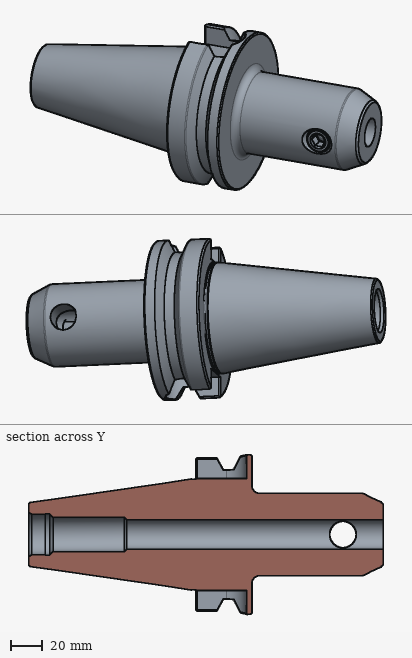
import cadquery as cq
import math

TOTAL_LENGTH = 221.8
GAP = 0.2

TAPER_LENGTH = 101.8
TAPER_DIA = 69.9
TAPER_RATIO = 7 / 24
TAPER_END_CHAMFER = 0.9
TAPER_END_DIA = TAPER_DIA - TAPER_LENGTH * TAPER_RATIO

RELIEF_DIA = 69.2
RELIEF_RAMP = 0.7
RELIEF_FILLET = 0.7

FLANGE_DIA = 100.0
FLANGE_START = 104.5
FLANGE_END = 139.7
FLANGE_FRONT_CHAMFER = 1.0
FLANGE_BACK_CHAMFER = 0.9
GROOVE_FLOOR_DIA = 84.7
GROOVE_FLOOR_START = 121.8
GROOVE_FLOOR_END = 128.2
GROOVE_SIDE_ANGLE = 30.0
GROOVE_EDGE_FILLET = 0.9
GROOVE_SIDE_LENGTH = (FLANGE_DIA - GROOVE_FLOOR_DIA) / 2 * math.tan(math.radians(GROOVE_SIDE_ANGLE))
GROOVE_START = GROOVE_FLOOR_START - GROOVE_SIDE_LENGTH
GROOVE_END = GROOVE_FLOOR_END + GROOVE_SIDE_LENGTH

SLOT_WIDTH = 25.5
SLOT_FLOOR_HEIGHT = 35.0
SLOT_END = 136.2
SLOT_MOUTH_CHAMFER = 1.0
SLOT_END_CHAMFER = 0.7

NOSE_DIA = 52.0
NOSE_FILLET = 4.7
TIP_CONE_START = 209.0
TIP_CONE_END_DIA = 40.8
TIP_CHAMFER = 1.3
TIP_EDGE_FILLET = 2.0

BORE_MOUTH_DIA = 27.5
BORE_MOUTH_DEPTH = 2.0
COUNTERBORE_DIA = 25.0
COUNTERBORE_DEPTH = 10.5
BORE_RELIEF_DIA = 25.5
BORE_RELIEF_END = 13.0
PULL_STUD_BORE_DIA = 21.0
PULL_STUD_BORE_END = 59.9
THROUGH_BORE_DIA = 18.0

SCREW_X = 196.5
SCREW_DIA = 16.0
SCREW_LENGTH = 16.0
SCREW_FACE_DIA = 14.0
SCREW_FACE_Y = -24.2
COUNTERSINK_DIA = 20.0
OPPOSITE_HOLE_DIA = 16.5

HEX_ACROSS_FLATS = 8.0
HEX_DEPTH = 7.8
HEX_MOUTH_DIA = 10.5
FLOOR_CONE_DIA = 7.0
FLOOR_CONE_ANGLE = 118.0


def revolve_about_axis(points):
    """Revolve (x, radius) points about the holder axis."""
    return cq.Workplane("XY").polyline(points).close().revolve(360, (0, 0, 0), (1, 0, 0))


def revolve_about_screw(points):
    """Revolve (radius, y) points about the screw axis."""
    shifted = [(SCREW_X + radius, y) for radius, y in points]
    return cq.Workplane("XY").polyline(shifted).close().revolve(360, (SCREW_X, 0, 0), (SCREW_X, 1, 0))


def edges_within(body, low, high):
    """Edges that lie wholly inside the box between two corners."""
    return body.edges(cq.selectors.BoxSelector(low, high, boundingbox=True))


def fillet_ring(body, x, diameter, fillet):
    """Fillet the one circular edge of this diameter at this X."""
    reach = diameter / 2 + GAP
    rings = edges_within(body, (x - GAP, -reach, -reach), (x + GAP, reach, reach))
    chosen = [edge for edge in rings.vals() if abs(edge.radius() - diameter / 2) < GAP]
    return body.newObject(chosen).fillet(fillet)




def make_blank():
    """Taper, relief, grooved flange and nose as one turned shape."""
    taper_end_r = TAPER_END_DIA / 2
    relief_r = RELIEF_DIA / 2
    flange_r = FLANGE_DIA / 2
    groove_r = GROOVE_FLOOR_DIA / 2
    nose_r = NOSE_DIA / 2
    tip_r = TIP_CONE_END_DIA / 2
    blank = revolve_about_axis([
        (0, 0),
        (0, taper_end_r - TAPER_END_CHAMFER),
        (TAPER_END_CHAMFER, taper_end_r + TAPER_END_CHAMFER * TAPER_RATIO / 2),
        (TAPER_LENGTH, TAPER_DIA / 2),
        (TAPER_LENGTH + RELIEF_RAMP, relief_r),
        (FLANGE_START, relief_r),
        (FLANGE_START, flange_r - FLANGE_FRONT_CHAMFER),
        (FLANGE_START + FLANGE_FRONT_CHAMFER, flange_r),
        (GROOVE_START, flange_r),
        (GROOVE_FLOOR_START, groove_r),
        (GROOVE_FLOOR_END, groove_r),
        (GROOVE_END, flange_r),
        (FLANGE_END - FLANGE_BACK_CHAMFER, flange_r),
        (FLANGE_END, flange_r - FLANGE_BACK_CHAMFER),
        (FLANGE_END, nose_r),
        (TIP_CONE_START, nose_r),
        (TOTAL_LENGTH - TIP_CHAMFER, tip_r),
        (TOTAL_LENGTH, tip_r - TIP_CHAMFER),
        (TOTAL_LENGTH, 0),
    ])
    blank = fillet_ring(blank, FLANGE_START, RELIEF_DIA, RELIEF_FILLET)
    blank = fillet_ring(blank, GROOVE_START, FLANGE_DIA, GROOVE_EDGE_FILLET)
    blank = fillet_ring(blank, FLANGE_END, NOSE_DIA, NOSE_FILLET)
    return fillet_ring(blank, TIP_CONE_START, NOSE_DIA, TIP_EDGE_FILLET)


def cut_drive_slots(body):
    half = SLOT_WIDTH / 2
    arc_start = SLOT_END - half
    slot = (
        cq.Workplane("XY", origin=(0, 0, SLOT_FLOOR_HEIGHT))
        .moveTo(FLANGE_START - GAP, -half)
        .lineTo(arc_start, -half)
        .threePointArc((SLOT_END, 0), (arc_start, half))
        .lineTo(FLANGE_START - GAP, half)
        .close()
        .extrude(FLANGE_DIA / 2)
    )
    return body.cut(slot).cut(slot.mirror("XY"))


def chamfer_slot_mouths(body):
    """Chamfer the slot walls where they meet the front face and the front rim of the flange."""
    flange_r = FLANGE_DIA / 2
    half = SLOT_WIDTH / 2
    outer = half + SLOT_MOUTH_CHAMFER
    rim_z = math.sqrt(flange_r**2 - outer**2)
    face_wedge = (
        cq.Workplane("XY", origin=(0, 0, SLOT_FLOOR_HEIGHT))
        .polyline([(FLANGE_START, half), (FLANGE_START + SLOT_MOUTH_CHAMFER, half), (FLANGE_START, outer)])
        .close()
        .extrude(flange_r - SLOT_FLOOR_HEIGHT)
    )
    rim_wedge = (
        cq.Workplane("YZ", origin=(FLANGE_START, 0, 0))
        .polyline([(half, rim_z - SLOT_MOUTH_CHAMFER), (outer, rim_z), (half, flange_r)])
        .close()
        .extrude(GROOVE_FLOOR_START - FLANGE_START)
    )
    for wedge in (face_wedge, rim_wedge):
        wedge_pair = wedge.union(wedge.mirror("XY"))
        body = body.cut(wedge_pair).cut(wedge_pair.mirror("XZ"))
    return body


def chamfer_slot_ends(body):
    """Chamfer the rounded end of each slot where it breaks through the back rim of the flange."""
    flange_r = FLANGE_DIA / 2
    half = SLOT_WIDTH / 2
    rim_z = math.sqrt(flange_r**2 - half**2)
    for side in (1, -1):
        low_z, high_z = sorted((side * (rim_z - GAP), side * (flange_r + GAP)))
        low = (GROOVE_END - GAP, -half, low_z)
        high = (SLOT_END + GAP, half, high_z)
        body = edges_within(body, low, high).chamfer(SLOT_END_CHAMFER)
    return body


def cut_bore(body):
    """Mouth chamfer, counterbore, relief, pull-stud bore and through bore."""
    stud_r = PULL_STUD_BORE_DIA / 2
    relief_r = BORE_RELIEF_DIA / 2
    through_r = THROUGH_BORE_DIA / 2
    bore = revolve_about_axis([
        (0, 0),
        (0, BORE_MOUTH_DIA / 2),
        (BORE_MOUTH_DEPTH, COUNTERBORE_DIA / 2),
        (COUNTERBORE_DEPTH, COUNTERBORE_DIA / 2),
        (COUNTERBORE_DEPTH, relief_r),
        (BORE_RELIEF_END, relief_r),
        (BORE_RELIEF_END + relief_r - stud_r, stud_r),
        (PULL_STUD_BORE_END, stud_r),
        (PULL_STUD_BORE_END + stud_r - through_r, through_r),
        (TOTAL_LENGTH, through_r),
        (TOTAL_LENGTH, 0),
    ])
    return body.cut(bore)


def cut_screw_holes(body):
    """Countersunk seat that fits round the screw, and the plain hole on the +Y side."""
    surface_y = -NOSE_DIA / 2
    mouth_r = COUNTERSINK_DIA / 2
    countersink = revolve_about_screw([
        (0, surface_y - GAP),
        (mouth_r + GAP, surface_y - GAP),
        (0, surface_y + mouth_r),
    ])
    opposite_hole = (
        cq.Workplane("XZ", origin=(SCREW_X, 0, 0)).circle(OPPOSITE_HOLE_DIA / 2).extrude(-NOSE_DIA)
    )
    return body.cut(opposite_hole).cut(countersink).cut(make_screw_outside())


def make_holder():
    body = make_blank()
    body = cut_drive_slots(body)
    body = chamfer_slot_mouths(body)
    body = chamfer_slot_ends(body)
    body = cut_bore(body)
    return cut_screw_holes(body)




def make_screw_outside():
    """Plain cylinder with its outer end chamfered."""
    chamfer = (SCREW_DIA - SCREW_FACE_DIA) / 2
    tip_y = SCREW_FACE_Y + SCREW_LENGTH
    return revolve_about_screw([
        (0, SCREW_FACE_Y),
        (SCREW_FACE_DIA / 2, SCREW_FACE_Y),
        (SCREW_DIA / 2, SCREW_FACE_Y + chamfer),
        (SCREW_DIA / 2, tip_y),
        (0, tip_y),
    ])


def make_screw():
    across_corners = HEX_ACROSS_FLATS / math.cos(math.pi / 6)
    socket = (
        cq.Workplane("XZ", origin=(SCREW_X, SCREW_FACE_Y, 0)).polygon(6, across_corners).extrude(-HEX_DEPTH)
    )
    mouth_r = HEX_MOUTH_DIA / 2
    mouth = revolve_about_screw([(0, SCREW_FACE_Y), (mouth_r, SCREW_FACE_Y), (0, SCREW_FACE_Y + mouth_r)])

    floor_y = SCREW_FACE_Y + HEX_DEPTH
    cone_r = FLOOR_CONE_DIA / 2
    cone_height = cone_r / math.tan(math.radians(FLOOR_CONE_ANGLE / 2))
    floor_cone = revolve_about_screw([(0, floor_y), (cone_r, floor_y), (0, floor_y - cone_height)])
    return make_screw_outside().cut(socket).cut(mouth).union(floor_cone)


holder = make_holder()
screw = make_screw()
result = cq.Compound.makeCompound([holder.solids().val(), screw.solids().val()])